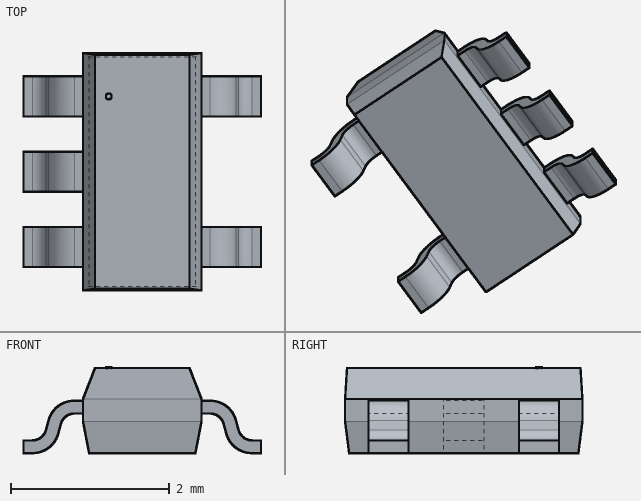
import cadquery as cq
import math

housing_length = 3.0
housing_width = 1.5
overall_height = 1.09
marker_rise = 0.01
housing_height = overall_height - marker_rise
belt_height = 0.285
belt_bottom = 0.402
belt_top = belt_bottom + belt_height
top_inset_x = 0.153
top_inset_y = 0.025
bottom_inset_x = 0.078
bottom_inset_y = 0.05

lead_span = 3.0
lead_width = 0.51
lead_pitch = 0.95
lead_thickness = 0.165
lead_top = 0.665
foot_length = 0.115
shoulder_length = 0.108
inner_radius = 0.175
outer_radius = inner_radius + lead_thickness

marker_diameter = 0.075
marker_depth = 0.015
marker_x = -0.423
marker_y = lead_pitch


def make_taper(belt_z, end_z, inset_x, inset_y):
    """Half of the housing that narrows from the belt to an end face."""
    return (
        cq.Workplane("XY", origin=(0, 0, belt_z))
        .rect(housing_width, housing_length)
        .workplane(offset=end_z - belt_z)
        .rect(housing_width - 2 * inset_x, housing_length - 2 * inset_y)
        .loft(ruled=True)
    )


def make_marker():
    return (
        cq.Workplane("XY", origin=(marker_x, marker_y, housing_height - marker_depth))
        .circle(marker_diameter / 2)
        .extrude(marker_depth + marker_rise)
    )


def make_housing():
    belt = (
        cq.Workplane("XY", origin=(0, 0, belt_bottom))
        .rect(housing_width, housing_length)
        .extrude(belt_height)
    )
    upper = make_taper(belt_top, housing_height, top_inset_x, top_inset_y)
    lower = make_taper(belt_bottom, 0, bottom_inset_x, bottom_inset_y)
    return belt.union(upper).union(lower).cut(make_marker())


def point_on_arc(center, radius, angle):
    return (center[0] + radius * math.cos(angle), center[1] + radius * math.sin(angle))


def make_left_lead(y):
    """Lead on the -X side, centred at y, ending against the housing belt."""
    tip_x = -lead_span / 2
    root_x = -housing_width / 2
    foot_center = (tip_x + foot_length, outer_radius)
    shoulder_center = (root_x - shoulder_length, lead_top - outer_radius)

    center_dx = shoulder_center[0] - foot_center[0]
    center_dz = shoulder_center[1] - foot_center[1]
    center_distance = math.hypot(center_dx, center_dz)
    center_angle = math.atan2(center_dz, center_dx)
    foot_end = center_angle - math.acos((inner_radius + outer_radius) / center_distance)
    shoulder_end = foot_end + math.pi
    foot_start = -math.pi / 2
    shoulder_start = math.pi / 2
    foot_middle = (foot_start + foot_end) / 2
    shoulder_middle = (shoulder_start + shoulder_end) / 2

    profile = (
        cq.Workplane("XZ", origin=(0, y + lead_width / 2, 0))
        .moveTo(tip_x, 0)
        .lineTo(foot_center[0], 0)
        .threePointArc(
            point_on_arc(foot_center, outer_radius, foot_middle),
            point_on_arc(foot_center, outer_radius, foot_end),
        )
        .lineTo(*point_on_arc(shoulder_center, inner_radius, shoulder_end))
        .threePointArc(
            point_on_arc(shoulder_center, inner_radius, shoulder_middle),
            point_on_arc(shoulder_center, inner_radius, shoulder_start),
        )
        .lineTo(root_x, lead_top - lead_thickness)
        .lineTo(root_x, lead_top)
        .lineTo(shoulder_center[0], lead_top)
        .threePointArc(
            point_on_arc(shoulder_center, outer_radius, shoulder_middle),
            point_on_arc(shoulder_center, outer_radius, shoulder_end),
        )
        .lineTo(*point_on_arc(foot_center, inner_radius, foot_end))
        .threePointArc(
            point_on_arc(foot_center, inner_radius, foot_middle),
            point_on_arc(foot_center, inner_radius, foot_start),
        )
        .lineTo(tip_x, lead_thickness)
        .close()
    )
    return profile.extrude(lead_width)


def make_right_lead(y):
    return make_left_lead(y).mirror("YZ")


housing = make_housing()
marker = make_marker()

left_leads = [make_left_lead(row * lead_pitch) for row in (-1, 0, 1)]
right_leads = [make_right_lead(row * lead_pitch) for row in (-1, 1)]
leads = left_leads + right_leads

result = cq.Compound.makeCompound([housing.val(), marker.val(), *[lead.val() for lead in leads]])